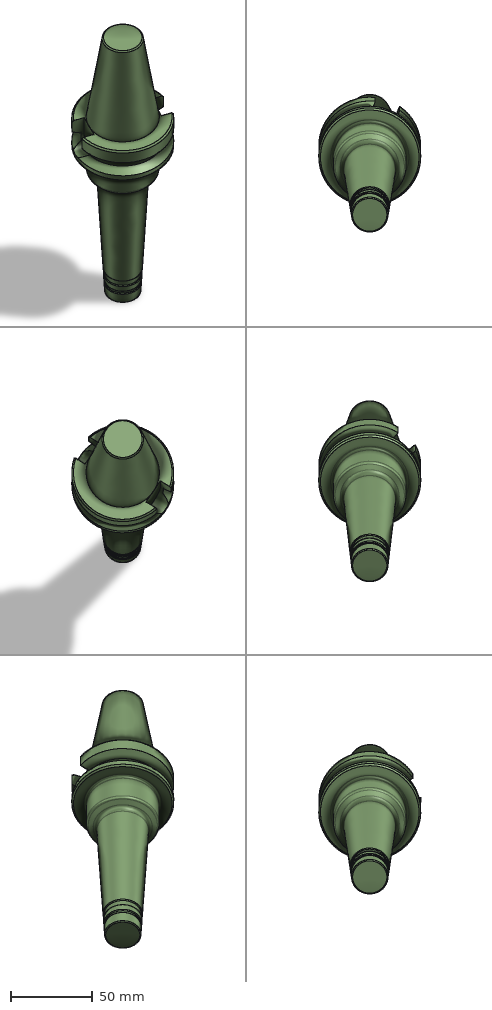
import cadquery as cq
import math

TOTAL_LENGTH = 215.5
GAUGE_Z = 150.0

GAUGE_DIAMETER = 44.5
GAUGE_RADIUS = GAUGE_DIAMETER / 2
TAPER_PER_LENGTH = 7 / 24
TAPER_END_CHAMFER = 0.9

FLANGE_RADIUS = 31.5
FLANGE_TOP_Z = GAUGE_Z - 2.0
FLANGE_HEIGHT = 25.0
FLANGE_BOTTOM_Z = FLANGE_TOP_Z - FLANGE_HEIGHT
FLANGE_CHAMFER = 1.0
GROOVE_RADIUS = 25.8
GROOVE_MID_Z = 133.1
GROOVE_FLOOR_WIDTH = 5.2
GROOVE_FLANK_ANGLE = 28.0

SLOT_WIDTH = 16.2
SLOT_TIP_Z = 126.7
SLOT_FLOOR_OFFSET = 22.5

COLLAR_RADIUS = 22.5
COLLAR_BOTTOM_Z = 103.5
COLLAR_ROOT_FILLET = 1.7
SHOULDER_ANGLE = 30.0
SHOULDER_OUTER_FILLET = 2.2
SHOULDER_INNER_FILLET = 4.3

SHANK_TOP_RADIUS = 16.2
SHANK_TIP_RADIUS = 11.2
RING_GROOVE_DEPTH = 0.54
RING_GROOVE_BEVEL = 0.6
RING_GROOVES = [(8.2, 10.3), (15.0, 19.4)]
NOSE_END_CHAMFER = 0.6
SHOULDER_HEIGHT = (COLLAR_RADIUS - SHANK_TOP_RADIUS) * math.tan(math.radians(SHOULDER_ANGLE))
SHANK_TOP_Z = COLLAR_BOTTOM_Z - SHOULDER_HEIGHT


def flange_profile():
    """Right half of the section, from the collar root up to the flange top."""
    flank_height = (FLANGE_RADIUS - GROOVE_RADIUS) * math.tan(math.radians(GROOVE_FLANK_ANGLE))
    floor_half = GROOVE_FLOOR_WIDTH / 2
    rim_half = floor_half + flank_height
    face_radius = FLANGE_RADIUS - FLANGE_CHAMFER
    return [
        (COLLAR_RADIUS, FLANGE_BOTTOM_Z),
        (face_radius, FLANGE_BOTTOM_Z),
        (FLANGE_RADIUS, FLANGE_BOTTOM_Z + FLANGE_CHAMFER),
        (FLANGE_RADIUS, GROOVE_MID_Z - rim_half),
        (GROOVE_RADIUS, GROOVE_MID_Z - floor_half),
        (GROOVE_RADIUS, GROOVE_MID_Z + floor_half),
        (FLANGE_RADIUS, GROOVE_MID_Z + rim_half),
        (FLANGE_RADIUS, FLANGE_TOP_Z - FLANGE_CHAMFER),
        (face_radius, FLANGE_TOP_Z),
    ]


def taper_profile():
    """Right half of the section, from the flange top to the small taper end."""
    base_radius = GAUGE_RADIUS + (GAUGE_Z - FLANGE_TOP_Z) * TAPER_PER_LENGTH / 2
    end_radius = GAUGE_RADIUS - (TOTAL_LENGTH - GAUGE_Z) * TAPER_PER_LENGTH / 2
    return [
        (base_radius, FLANGE_TOP_Z),
        (end_radius, TOTAL_LENGTH - TAPER_END_CHAMFER),
        (end_radius - TAPER_END_CHAMFER, TOTAL_LENGTH),
        (0, TOTAL_LENGTH),
    ]


def shank_radius(height):
    """Radius of the shank cone at a given height."""
    return SHANK_TIP_RADIUS + (SHANK_TOP_RADIUS - SHANK_TIP_RADIUS) * height / SHANK_TOP_Z


def shank_profile():
    """Right half of the section, from the tip up to the shoulder."""
    points = [
        (0, 0),
        (SHANK_TIP_RADIUS - NOSE_END_CHAMFER, 0),
        (shank_radius(NOSE_END_CHAMFER), NOSE_END_CHAMFER),
    ]
    for bottom, top in RING_GROOVES:
        floor_bottom = bottom + RING_GROOVE_BEVEL / 2
        floor_top = top - RING_GROOVE_BEVEL / 2
        wall_bottom = bottom - RING_GROOVE_BEVEL / 2
        wall_top = top + RING_GROOVE_BEVEL / 2
        points += [
            (shank_radius(wall_bottom), wall_bottom),
            (shank_radius(floor_bottom) - RING_GROOVE_DEPTH, floor_bottom),
            (shank_radius(floor_top) - RING_GROOVE_DEPTH, floor_top),
            (shank_radius(wall_top), wall_top),
        ]
    return points + [(SHANK_TOP_RADIUS, SHANK_TOP_Z)]


def turned_body():
    """Revolve the full section about Z and round the collar corners."""
    outline = shank_profile() + [(COLLAR_RADIUS, COLLAR_BOTTOM_Z)] + flange_profile() + taper_profile()
    body = cq.Workplane("XZ").polyline(outline).close().revolve(360, (0, 0), (0, 1))
    rounded_edges = [
        (FLANGE_BOTTOM_Z, COLLAR_RADIUS, COLLAR_ROOT_FILLET),
        (COLLAR_BOTTOM_Z, COLLAR_RADIUS, SHOULDER_OUTER_FILLET),
        (SHANK_TOP_Z, SHANK_TOP_RADIUS, SHOULDER_INNER_FILLET),
    ]
    for height, edge_radius, fillet_radius in rounded_edges:
        margin = 0.2
        reach = edge_radius + margin
        around_edge = cq.selectors.BoxSelector(
            (-reach, -reach, height - margin), (reach, reach, height + margin), boundingbox=True
        )
        body = body.edges(around_edge).fillet(fillet_radius)
    return body


def drive_slot(side):
    """Round-ended slot cutter, open at the top; side is -1 or +1 along Y."""
    half_width = SLOT_WIDTH / 2
    arc_z = SLOT_TIP_Z + half_width
    depth = FLANGE_RADIUS - SLOT_FLOOR_OFFSET
    return (
        cq.Workplane("XZ", origin=(0, side * SLOT_FLOOR_OFFSET, 0))
        .moveTo(-half_width, FLANGE_TOP_Z)
        .lineTo(-half_width, arc_z)
        .threePointArc((0, SLOT_TIP_Z), (half_width, arc_z))
        .lineTo(half_width, FLANGE_TOP_Z)
        .close()
        .extrude(-side * depth)
    )


result = turned_body()
for slot_side in (-1, 1):
    result = result.cut(drive_slot(slot_side))